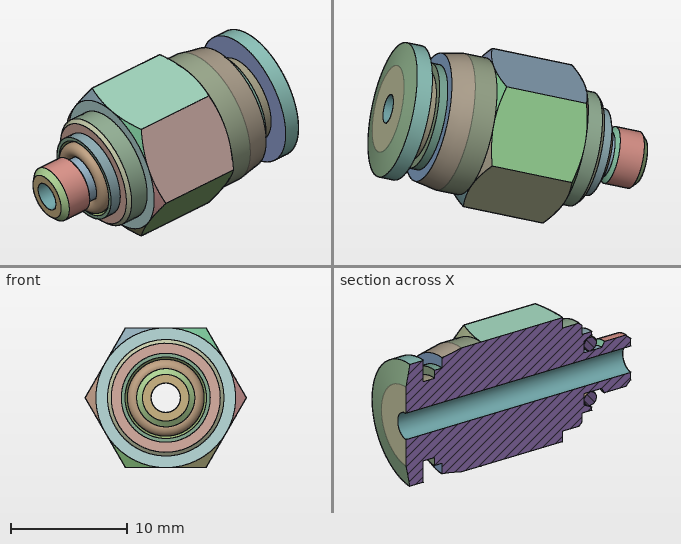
import cadquery as cq
import math


bore_radius = 1.25
thread_radius = 2.5
tip_chamfer = 0.5
neck_radius = 2.0
neck_start = 3.0
undercut_angle = math.radians(30)
undercut_length = (thread_radius - neck_radius) * math.tan(undercut_angle)

ring_section_radius = 0.65
ring_center_radius = neck_radius + ring_section_radius
ring_front = 3.5
ring_center_y = ring_front + ring_section_radius

boss_radius = 3.82
boss_front = 4.0
recess_mouth_radius = 3.5
recess_half_angle = math.radians(30)
recess_floor = ring_center_y + ring_section_radius
recess_floor_radius = recess_mouth_radius - (recess_floor - boss_front) * math.tan(recess_half_angle)

flange_radius = 5.0
flange_front = 5.0
flange_chamfer = 0.32

hex_across_flats = 12.0
hex_front = 7.0
hex_back = 15.4
hex_flat_radius = hex_across_flats / 2
hex_corner_radius = hex_flat_radius / math.cos(math.radians(30))
hex_chamfer_angle = math.radians(30)
hex_chamfer_length = (hex_corner_radius - hex_flat_radius) * math.tan(hex_chamfer_angle)

shoulder_back = 17.4
taper_back = 19.4
taper_back_radius = 5.62

collar_radius = 4.62
collar_back = 20.15
button_neck_radius = 3.85
button_front = 21.3
button_radius = 5.9
button_edge = 22.7
button_face_radius = 3.8
overall_length = 23.1


def revolve_about_y(profile):
    """Turn a half profile of (radius, y) points around the Y axis."""
    return cq.Workplane("XY").polyline(profile).close().revolve(360, (0, 0, 0), (0, 1, 0))


def make_turned_core():
    """All the round steps of the body, bored right through."""
    return revolve_about_y([
        (bore_radius, 0),
        (thread_radius - tip_chamfer, 0),
        (thread_radius, tip_chamfer),
        (thread_radius, neck_start - undercut_length),
        (neck_radius, neck_start),
        (neck_radius, recess_floor),
        (recess_floor_radius, recess_floor),
        (recess_mouth_radius, boss_front),
        (boss_radius, boss_front),
        (boss_radius, flange_front),
        (flange_radius - flange_chamfer, flange_front),
        (flange_radius, flange_front + flange_chamfer),
        (flange_radius, hex_back),
        (hex_flat_radius, hex_back),
        (hex_flat_radius, shoulder_back),
        (taper_back_radius, taper_back),
        (collar_radius, taper_back),
        (collar_radius, collar_back),
        (button_neck_radius, collar_back),
        (button_neck_radius, button_front),
        (button_radius, button_front),
        (button_radius, button_edge),
        (button_face_radius, overall_length),
        (bore_radius, overall_length),
    ])


def make_hexagon():
    """Hexagon with flats on top and bottom, bored, with chamfered corners at both ends."""
    prism = (
        cq.Workplane("XZ", origin=(0, hex_front, 0))
        .polygon(6, 2 * hex_corner_radius)
        .extrude(hex_front - hex_back)
    )
    chamfer_envelope = revolve_about_y([
        (bore_radius, hex_front),
        (hex_flat_radius, hex_front),
        (hex_corner_radius, hex_front + hex_chamfer_length),
        (hex_corner_radius, hex_back - hex_chamfer_length),
        (hex_flat_radius, hex_back),
        (bore_radius, hex_back),
    ])
    return prism.intersect(chamfer_envelope)


def make_body():
    return make_turned_core().union(make_hexagon())


def make_o_ring():
    return (
        cq.Workplane("XY")
        .center(ring_center_radius, ring_center_y)
        .circle(ring_section_radius)
        .revolve(360, (-ring_center_radius, 0, 0), (-ring_center_radius, 1, 0))
    )


body = make_body()
o_ring = make_o_ring()

result = cq.Compound.makeCompound([body.solids().val(), o_ring.val()])